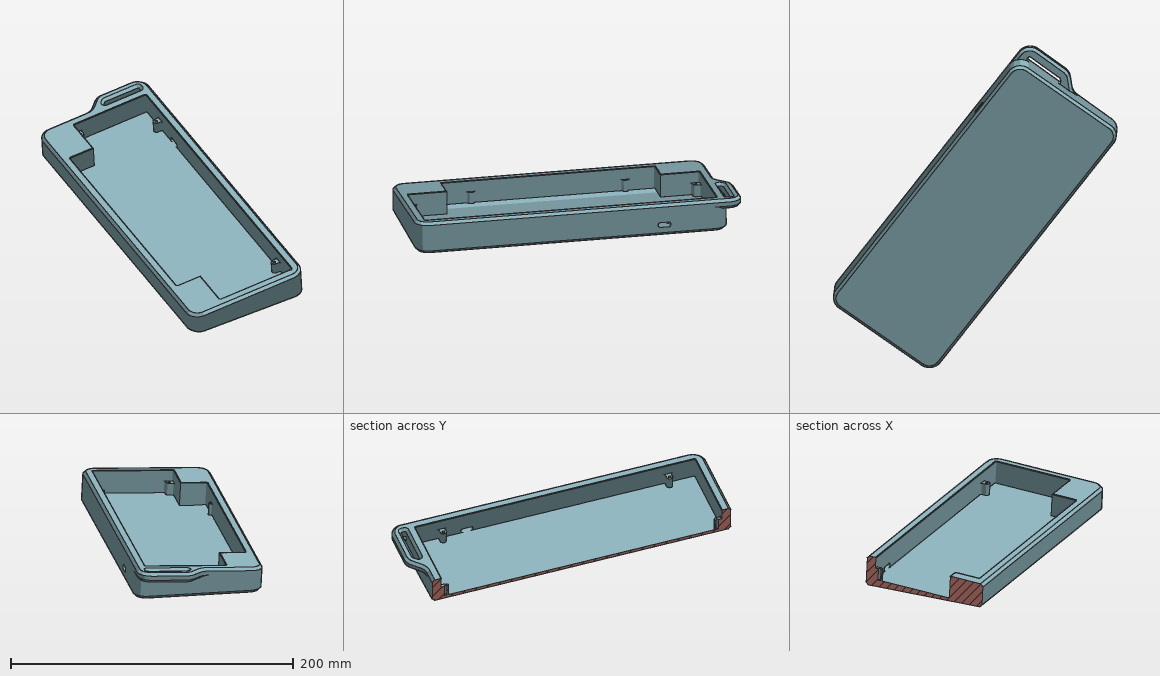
import cadquery as cq
import math

total_length = 236.3
total_height = 23.0
tilt = 3.0
body_depth = 92.0
loop_reach = 10.6
wall = 7.0
corner_radius = 9.7
edge_chamfer = 2.0

loop_thickness = 7.0
loop_front = 44.0
slot_corner_radius = 1.0

well_depth = 17.0
well_corner_radius = 1.0
mouth_chamfer = 0.5
step_width = 28.4
step_front = 26.2
floor_thickness = 2.05

boss_radius = 2.25
boss_height = 8.7
hole_diameter = 1.8
hole_to_wall = 3.3
boss_fillet = 1.0
back_boss_inset = 20.3
front_boss_inset = 21.5

opening_width = 9.0
opening_height = 3.5
opening_center = 57.2
opening_radius = 1.5

slope = math.radians(tilt)
front_height = total_height - (body_depth - edge_chamfer) * math.sin(slope)
well_left = loop_reach + wall
well_right = total_length - wall
well_front = wall
well_back = body_depth - wall
well_bottom = -well_depth
body_bottom = -(total_height + edge_chamfer)
margin = 2.4

slope_normal = cq.Vector(0, -math.sin(slope), math.cos(slope))
slope_plane = cq.Plane((0, 0, front_height), (1, 0, 0), slope_normal)
TOP_FACE = cq.DirectionMinMaxSelector(slope_normal, True)
LOWER_FACE = cq.DirectionMinMaxSelector(slope_normal, False)
UPRIGHT = cq.ParallelDirSelector(slope_normal)
ALONG = cq.ParallelDirSelector(slope_plane.yDir)


def sloped(level=0.0):
    """Workplane parallel to the sloping top, raised along its normal by level."""
    return cq.Workplane(slope_plane).workplane(offset=level)


def block(left, front, right, back, bottom, height):
    """Box standing square to the sloping top."""
    center = ((left + right) / 2, (front + back) / 2)
    return sloped(bottom).center(*center).rect(right - left, back - front).extrude(height)


def above(height):
    """Everything above a level height."""
    size = 2 * total_length
    return cq.Workplane("XY", origin=(0, 0, height)).rect(size, size).extrude(size)


def make_rim():
    """Top slab: body outline plus the loop, with the loop's slot."""
    outline = [
        (0, body_depth),
        (total_length, body_depth),
        (total_length, 0),
        (loop_reach, 0),
        (loop_reach, loop_front),
        (0, loop_front + loop_reach),
    ]
    rim = sloped(-loop_thickness).polyline(outline).close().extrude(loop_thickness)
    rim = rim.edges(UPRIGHT).fillet(corner_radius)
    rim = rim.faces(LOWER_FACE).edges().chamfer(edge_chamfer)
    rim = rim.cut(make_slot())
    return rim.faces(TOP_FACE).edges().chamfer(edge_chamfer)


def make_slot():
    """Slot that follows the loop outline, one wall thickness inside it."""
    slot_front = loop_front + wall * math.sqrt(2)
    outline = [
        (wall, body_depth - wall),
        (loop_reach, body_depth - wall),
        (loop_reach, slot_front),
        (wall, slot_front + loop_reach - wall),
    ]
    slot = sloped(-loop_thickness).polyline(outline).close().extrude(loop_thickness)
    return slot.edges(UPRIGHT).fillet(slot_corner_radius)


def make_body():
    """Body below the rim chamfer, walls square to the top and a level bottom."""
    body = block(loop_reach, 0, total_length, body_depth, body_bottom, -edge_chamfer - body_bottom)
    body = body.edges(UPRIGHT).fillet(corner_radius)
    body = body.intersect(above(0))
    return body.faces("<Z").edges().chamfer(edge_chamfer)


def make_well():
    """Well with a stepped front, its floor parallel to the top but level near the front."""
    well = block(well_left, step_front, well_right, well_back, well_bottom, well_depth)
    well = well.edges(UPRIGHT).fillet(well_corner_radius)
    bay_left = well_left + step_width
    bay_right = well_right - step_width
    bay = block(bay_left, well_front, bay_right, well_back - margin, well_bottom, well_depth)
    bay = bay.edges(UPRIGHT).edges("<Y").fillet(well_corner_radius)
    return well.union(bay).intersect(above(floor_thickness))


def add_bosses(part):
    """Six screw bosses standing on the well floor, filleted where they meet its walls."""
    feet = []
    for side, x_wall in ((1, well_left), (-1, well_right)):
        back_x = x_wall + side * back_boss_inset
        part = part.union(boss(back_x, well_back - hole_to_wall, [(0, hole_to_wall)]))
        feet += [(back_x - boss_radius, well_back), (back_x + boss_radius, well_back)]

        corner_x = x_wall + side * hole_to_wall
        corner_along = step_front + hole_to_wall
        to_side = -side * hole_to_wall
        to_front = -hole_to_wall
        corner_webs = [(to_side, 0), (0, to_front), (to_side, to_front)]
        part = part.union(boss(corner_x, corner_along, corner_webs))
        feet += [(x_wall, corner_along + boss_radius), (corner_x + side * boss_radius, step_front)]

        front_x = x_wall + side * (step_width + front_boss_inset)
        part = part.union(boss(front_x, well_front, []))
        feet += [(front_x - boss_radius, well_front), (front_x + boss_radius, well_front)]

    for x, along in feet:
        middle = slope_plane.toWorldCoords((x, along, well_bottom + boss_height / 2))
        foot_edge = cq.NearestToPointSelector(middle.toTuple())
        part = part.edges(UPRIGHT).edges(foot_edge).fillet(boss_fillet)
    return part


def boss(x, along, webs):
    """Drilled round boss; each web is the offset from its centre to a wall or corner."""
    post = sloped(well_bottom).center(x, along).circle(boss_radius).extrude(boss_height)
    for web_x, web_along in webs:
        half_x = boss_radius if web_x == 0 else 0
        half_along = boss_radius if web_along == 0 else 0
        web = block(
            min(x, x + web_x) - half_x,
            min(along, along + web_along) - half_along,
            max(x, x + web_x) + half_x,
            max(along, along + web_along) + half_along,
            well_bottom,
            boss_height,
        )
        post = post.union(web)
    hole = sloped(well_bottom).center(x, along).circle(hole_diameter / 2).extrude(boss_height)
    return post.cut(hole)


def make_opening():
    """Cable opening through the back wall, level with the well floor, with rounded ends."""
    opening = block(
        opening_center - opening_width / 2,
        well_back - margin,
        opening_center + opening_width / 2,
        body_depth + margin,
        well_bottom,
        opening_height,
    )
    return opening.edges(ALONG).fillet(opening_radius)


def chamfer_mouth(part):
    """Break the edge around the top of the well."""
    around_well = cq.selectors.BoxSelector(
        (well_left - mouth_chamfer, well_front - mouth_chamfer, 0),
        (well_right + mouth_chamfer, well_back + mouth_chamfer, total_height),
    )
    return part.faces(TOP_FACE).edges(around_well).chamfer(mouth_chamfer)


tray = make_rim().union(make_body()).cut(make_well())
tray = chamfer_mouth(tray)
result = add_bosses(tray).cut(make_opening())